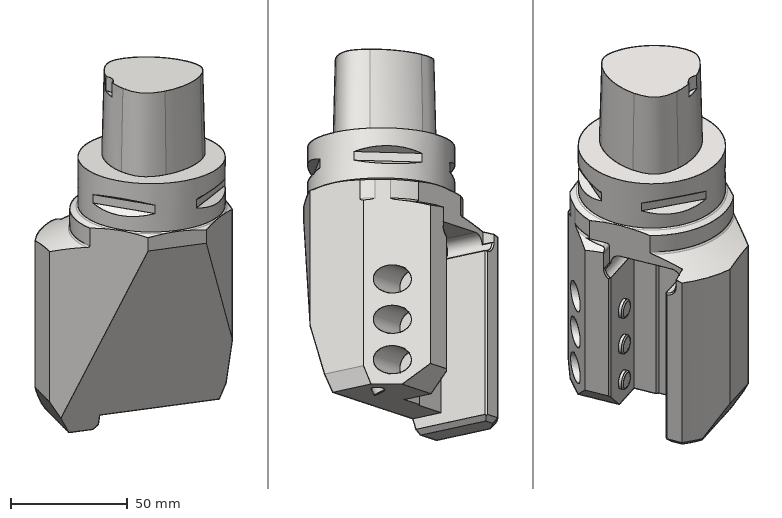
import cadquery as cq
import math

shank_height = 38.0
shank_diameter = 44.2
shank_lobe_offset = 1.6
shank_taper_ratio = 1 / 20
lobe_half_angle = 38
outline_steps = 6
key_radius = 5.1
key_center_y = -22.9
key_depth = 6.5

collar_radius = 63.0 / 2
collar_height = 22.2
flare_radius = 32.3
flare_height = 0.5
neck_radius = 35.0
neck_top_z = -23.8
neck_bottom_z = -32.6
neck_fillet = 1.0
shoulder_angle = 25
grip_half_chord = 14.5
grip_flat_height = 3.8
grip_flank_angle = 30
grip_z = -11.8
grip_cut_clearance = 1.6

body_bottom_z = shank_height - 160
flat_distance = 32
jaw_face_x = -38.0
leg_face_y = -46.0
leg_radius = 50.0
jaw_facet_angle = 40
jaw_facet_distance = 34.9
back_slope_top_z = -29.8
corner_x = flat_distance * (math.sqrt(2) - 1)

shelf_z = -33.0
jaw_corner_fillet = 1.6
opening_min_y = -29.6
opening_max_y = 4.8
relief_radius = 4.5
relief_z = -42.4
relief_bevel = 0.6
channel_min_y = -24.5
channel_max_y = 1.8
channel_floor_x = -14.0
mouth_chamfer = 0.8
seat_min_y = -8.6
seat_relief = 1.0

jaw_bottom_z = -114.7
jaw_chamfer = 9.3
back_chamfer_width = 2.0
back_chamfer_height = 8.2
leg_chamfer_width = 8.5
leg_chamfer_height = 14.9
leg_edge_chamfer = 2.2

screw_x = -25.6
screw_top_z = -68.0
screw_pitch = 18.0
screw_count = 3
screw_hole_diameter = 12.5
screw_hole_bottom_y = 11.2
screw_tip_diameter = 8.5
screw_tip_length = 2.0
screw_tip_chamfer = 0.6
nozzle_diameter = 5.0
nozzle_length = 2.0
nozzle_root = 3.2
nozzle_x = -16
nozzle_y = 22.2
nozzle_direction = (-0.3, -0.45, -1)


def box(x_range, y_range, z_range):
    """Box given by its limits along each axis."""
    lows, highs = zip(x_range, y_range, z_range)
    size = [high - low for low, high in zip(lows, highs)]
    return cq.Workplane("XY").box(*size, centered=False).translate(lows)


def wedge(plane, points, start, end):
    """Prism over a polygon, from start to end along the plane's normal."""
    return cq.Workplane(plane).workplane(offset=start).polyline(points).close().extrude(end - start)


def shank_outline(z):
    """Rounded three-lobed outline of the shank at height z."""
    radius = (shank_diameter - shank_taper_ratio * z) / 2

    def point(angle):
        support = radius + shank_lobe_offset * math.cos(3 * angle)
        slope = -3 * shank_lobe_offset * math.sin(3 * angle)
        along = support * math.cos(angle) - slope * math.sin(angle)
        across = support * math.sin(angle) + slope * math.cos(angle)
        return cq.Vector(-across, along, z)

    seams = []
    for lobe in (0, 120, 240):
        seams += [lobe - lobe_half_angle, lobe + lobe_half_angle]
    edges = []
    for start, end in zip(seams, seams[1:] + [seams[0] + 360]):
        angles = [math.radians(start + (end - start) * i / outline_steps) for i in range(outline_steps + 1)]
        edges.append(cq.Edge.makeSpline([point(angle) for angle in angles]))
    return cq.Wire.assembleEdges(edges)


def make_shank():
    shank = cq.Workplane(cq.Solid.makeLoft([shank_outline(0), shank_outline(shank_height)], True))
    key = cq.Workplane("XY", origin=(0, key_center_y, shank_height)).circle(key_radius).extrude(-key_depth)
    return shank.cut(key)


def make_turned_blank():
    """Collar, neck, sloping shoulder and bevelled lower rim, turned about the taper axis."""
    shoulder_z = neck_bottom_z - (leg_radius - neck_radius) * math.tan(math.radians(shoulder_angle))
    tangent = neck_fillet * math.tan(math.radians(90 - shoulder_angle) / 2)
    fillet_start = (neck_radius, neck_bottom_z + tangent)
    fillet_end = (
        neck_radius + tangent * math.cos(math.radians(shoulder_angle)),
        neck_bottom_z - tangent * math.sin(math.radians(shoulder_angle)),
    )
    return (
        cq.Workplane("XZ")
        .lineTo(collar_radius, 0)
        .lineTo(collar_radius, -collar_height)
        .lineTo(flare_radius, -collar_height - flare_height)
        .lineTo(neck_radius, neck_top_z)
        .lineTo(*fillet_start)
        .tangentArcPoint(fillet_end, relative=False)
        .lineTo(leg_radius, shoulder_z)
        .lineTo(leg_radius, body_bottom_z + leg_edge_chamfer)
        .lineTo(leg_radius - leg_edge_chamfer, body_bottom_z)
        .lineTo(0, body_bottom_z)
        .close()
        .revolve(360, (0, 0, 0), (0, 1, 0))
    )


def make_body():
    """Turned blank trimmed by the flats, the jaw facet and the sloping back."""
    facet = math.radians(jaw_facet_angle)
    facet_back_x = (flat_distance * math.cos(facet) - jaw_facet_distance) / math.sin(facet)
    facet_jaw_y = (jaw_facet_distance + jaw_face_x * math.sin(facet)) / math.cos(facet)
    outline = [
        (facet_back_x, flat_distance),
        (corner_x, flat_distance),
        (flat_distance, corner_x),
        (flat_distance, -corner_x),
        (flat_distance + corner_x + leg_face_y, leg_face_y),
        (jaw_face_x, leg_face_y),
        (jaw_face_x, facet_jaw_y),
    ]
    body = make_turned_blank().intersect(wedge("XY", outline, body_bottom_z, 0))
    slope = [(flat_distance, back_slope_top_z), (flat_distance, body_bottom_z), (0, body_bottom_z)]
    return body.cut(wedge("XZ", slope, -flat_distance, -leg_face_y))


def make_grip_grooves():
    """Four gripper grooves with a flat floor and sloping flanks, set at 45 degrees round the collar."""
    floor = math.sqrt(collar_radius**2 - grip_half_chord**2)
    reach = collar_radius + grip_cut_clearance
    half = grip_flat_height / 2
    mouth = half + (reach - floor) * math.tan(math.radians(grip_flank_angle))
    profile = [
        (floor, grip_z - half),
        (reach, grip_z - mouth),
        (reach, grip_z + mouth),
        (floor, grip_z + half),
    ]
    groove = wedge("XZ", profile, -collar_radius, collar_radius)
    grooves = cq.Workplane("XY")
    for angle in (45, 135, 225, 315):
        grooves = grooves.add(groove.rotate((0, 0, 0), (0, 0, 1), angle))
    return grooves.combine()


def make_pocket():
    """Open front, rounded relief slot and tool channel between jaw and leg."""
    front_x = (jaw_face_x, -flat_distance)
    shelf = box(front_x, (opening_min_y, flat_distance), (shelf_z, 0))
    opening = box(front_x, (opening_min_y, opening_max_y), (relief_z, 0))
    relief_floor_x = channel_floor_x + seat_relief
    slot_plane = cq.Plane(
        origin=(jaw_face_x, (opening_min_y + opening_max_y) / 2, relief_z),
        xDir=(0, 1, 0),
        normal=(1, 0, 0),
    )
    mouth_length = opening_max_y - opening_min_y
    slot = (
        cq.Workplane(slot_plane)
        .slot2D(mouth_length - 2 * relief_bevel, 2 * relief_radius)
        .extrude(relief_floor_x - jaw_face_x)
    )
    slot_mouth = (
        cq.Workplane(slot_plane)
        .slot2D(mouth_length, 2 * (relief_radius + relief_bevel))
        .extrude(relief_bevel, taper=45)
    )
    channel_z = (body_bottom_z, relief_z)
    seat = box((jaw_face_x, channel_floor_x), (channel_min_y, channel_max_y), channel_z)
    deep_side = [
        (jaw_face_x, channel_min_y),
        (relief_floor_x, channel_min_y),
        (relief_floor_x, seat_min_y - seat_relief),
        (channel_floor_x, seat_min_y),
        (jaw_face_x, seat_min_y),
    ]
    deep = wedge("XY", deep_side, *channel_z)
    mouth = [
        (jaw_face_x, channel_min_y - mouth_chamfer),
        (jaw_face_x + mouth_chamfer, channel_min_y),
        (jaw_face_x + mouth_chamfer, channel_max_y),
        (jaw_face_x, channel_max_y + mouth_chamfer),
    ]
    bevel = wedge("XY", mouth, *channel_z)
    return shelf.union(opening).union(slot).union(slot_mouth).union(seat).union(deep).union(bevel)


def make_lower_end():
    """Material removed below the jaw and at the end of the leg."""
    below_jaw = box((jaw_face_x, flat_distance), (channel_min_y, flat_distance), (body_bottom_z, jaw_bottom_z))
    jaw_bevel = wedge(
        "XZ",
        [
            (jaw_face_x, jaw_bottom_z + jaw_chamfer),
            (jaw_face_x, jaw_bottom_z),
            (jaw_face_x + jaw_chamfer, jaw_bottom_z),
        ],
        -flat_distance,
        -channel_max_y,
    )
    back_bevel = wedge(
        "YZ",
        [
            (flat_distance, jaw_bottom_z + back_chamfer_height),
            (flat_distance, jaw_bottom_z),
            (flat_distance - back_chamfer_width, jaw_bottom_z),
        ],
        jaw_face_x,
        flat_distance,
    )
    leg_bevel = wedge(
        "YZ",
        [
            (leg_face_y, body_bottom_z + leg_chamfer_height),
            (leg_face_y, body_bottom_z),
            (leg_face_y + leg_chamfer_width, body_bottom_z),
        ],
        jaw_face_x,
        flat_distance,
    )
    leg_edge_top = body_bottom_z + leg_edge_chamfer
    leg_side_bevel = wedge(
        "YZ",
        [
            (channel_min_y, leg_edge_top),
            (channel_min_y, body_bottom_z),
            (channel_min_y - leg_edge_chamfer, body_bottom_z),
        ],
        jaw_face_x,
        flat_distance,
    )
    leg_front_bevel = wedge(
        "XZ",
        [
            (jaw_face_x, leg_edge_top),
            (jaw_face_x, body_bottom_z),
            (jaw_face_x + leg_edge_chamfer, body_bottom_z),
        ],
        -channel_min_y,
        -leg_face_y,
    )
    bevels = jaw_bevel.union(back_bevel).union(leg_bevel).union(leg_side_bevel).union(leg_front_bevel)
    return below_jaw.union(bevels)


def screw_plane(index, y):
    """Plane across the axis of one clamping screw, facing the channel."""
    return cq.Workplane("XZ", origin=(screw_x, y, screw_top_z - index * screw_pitch))


def make_nozzle():
    direction = cq.Vector(*nozzle_direction).normalized()
    root = cq.Vector(nozzle_x, nozzle_y, jaw_bottom_z) - direction * nozzle_root
    return cq.Workplane(
        cq.Solid.makeCylinder(nozzle_diameter / 2, nozzle_root + nozzle_length, root, direction)
    )


body = make_body().cut(make_grip_grooves()).cut(make_pocket())
jaw_corner = (-flat_distance - jaw_corner_fillet, opening_max_y, shelf_z)
body = body.edges(cq.NearestToPointSelector(jaw_corner)).fillet(jaw_corner_fillet)
body = body.cut(make_lower_end())

for index in range(screw_count):
    hole = screw_plane(index, screw_hole_bottom_y).circle(screw_hole_diameter / 2)
    body = body.cut(hole.extrude(screw_hole_bottom_y - flat_distance))
    tip = screw_plane(index, channel_max_y).circle(screw_tip_diameter / 2).extrude(screw_tip_length)
    body = body.union(tip.faces("<Y").chamfer(screw_tip_chamfer))

result = body.union(make_shank()).union(make_nozzle())